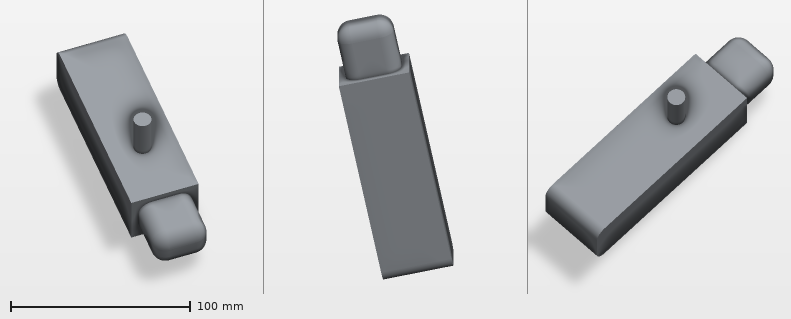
import cadquery as cq

body_length = 120.0
body_width = 40.0
body_height = 30.0
body_end_radius = 6.0

plug_length = 30.0
plug_width = 32.0
plug_height = 22.0
plug_radius = 8.0

pin_diameter = 10.0
pin_height = 24.0
pin_from_body_end = 84.0


def make_body():
    """Bar from x = 0 to body_length, centred on Y and Z."""
    bar = cq.Workplane("XY").box(body_length, body_width, body_height, centered=(False, True, True))
    return bar.edges("|Y and <X").fillet(body_end_radius)


def make_plug():
    """Block rounded along its length and around its free end."""
    block = (
        cq.Workplane("XY")
        .box(plug_length, plug_width, plug_height, centered=(False, True, True))
        .translate((body_length, 0, 0))
    )
    return block.edges("|X or >X").fillet(plug_radius)


def make_pin():
    """Round post rising from the top face of the body."""
    return (
        cq.Workplane("XY", origin=(pin_from_body_end, 0, body_height / 2))
        .circle(pin_diameter / 2)
        .extrude(pin_height)
    )


result = make_body().union(make_plug()).union(make_pin())